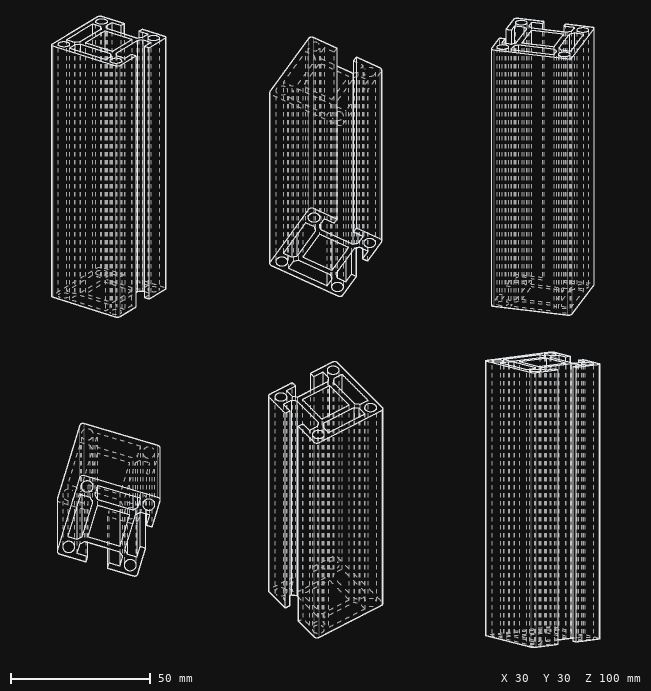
import cadquery as cq

side = 30.0
length = 100.0
corner_radius = 1.2

wall = 2.1
channel_width = 16.0
channel_floor = channel_width / 2
channel_chamfer = 1.4
slot_width = 8.0
core_width = 12.0

bore_diameter = 4.2
bore_offset = 11.5

half_side = side / 2
slot_angles = (0, 90)
channel_angles = (0, 90, 180, 270)


def channel(angle):
    """Full-length channel, drawn facing +X and turned about the part axis."""
    half_width = channel_width / 2
    outer = half_side - wall
    points = [
        (outer, -half_width),
        (outer, half_width),
        (channel_floor + channel_chamfer, half_width),
        (channel_floor, half_width - channel_chamfer),
        (channel_floor, channel_chamfer - half_width),
        (channel_floor + channel_chamfer, -half_width),
    ]
    solid = cq.Workplane("XY").polyline(points).close().extrude(length)
    return solid.rotate((0, 0, 0), (0, 0, 1), angle)


def slot(angle):
    """Mouth that opens a channel through the outer wall."""
    depth = half_side - channel_floor - channel_chamfer
    solid = (
        cq.Workplane("XY")
        .center(half_side - depth / 2, 0)
        .rect(depth, slot_width)
        .extrude(length)
    )
    return solid.rotate((0, 0, 0), (0, 0, 1), angle)


result = cq.Workplane("XY").rect(side, side).extrude(length).edges("|Z").fillet(corner_radius)

result = result.cut(cq.Workplane("XY").rect(core_width, core_width).extrude(length))

bores = (
    cq.Workplane("XY")
    .rect(2 * bore_offset, 2 * bore_offset, forConstruction=True)
    .vertices()
    .circle(bore_diameter / 2)
    .extrude(length)
)
result = result.cut(bores)

for channel_angle in channel_angles:
    result = result.cut(channel(channel_angle))

for slot_angle in slot_angles:
    result = result.cut(slot(slot_angle))